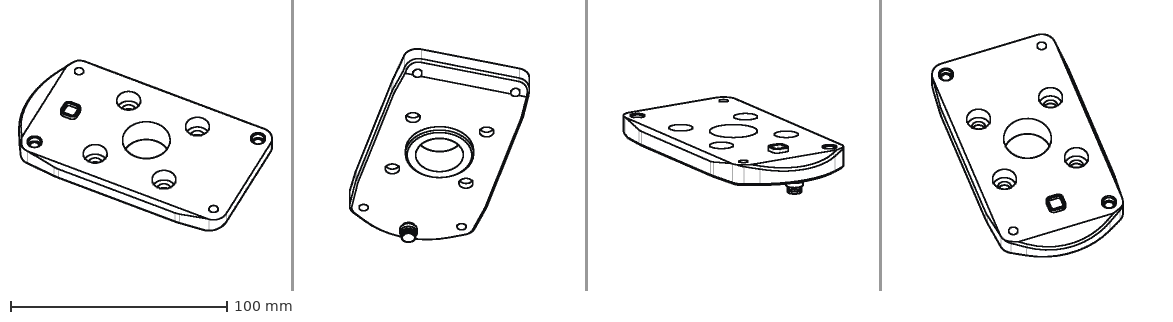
import cadquery as cq
import math

plate_thickness = 10.0
corner_center_x = 46.0
corner_center_y = 23.5
corner_radius = 6.5
half_width = 31.5
flat_half_length = 31.1
side_blend_radius = 24.0
nose_tip_x = -61.0
nose_radius = 40.0
edge_chamfer = 1.0

top_half_width = corner_center_y + corner_radius
plate_end_x = corner_center_x + corner_radius
side_slope_angle = 60.0
nose_slope_run = 3.0
end_slope_start_x = 45.0
end_slope_run = 2.75

bore_diameter = 22.0
spigot_diameter = 31.5
spigot_height = 3.0
spigot_chamfer = 0.8

bolt_circle_diameter = 50.0
bolt_count = 4
bolt_hole_diameter = 6.5
bolt_head_diameter = 11.0
bolt_floor = 3.0

corner_hole_diameter = 4.2
insert_diameter = 5.8
insert_mouth_diameter = 6.9
insert_depth = 3.0

button_x = -38.9
button_size = 8.0
button_height = 2.0
button_corner_radius = 2.3
button_chamfer = 0.2
button_recess_size = 6.0
button_rim_chamfer = 0.3

pin_x = -53.0
pin_length = 6.75
pin_neck_diameter = 6.5
pin_neck_end = 0.65
pin_collar_diameter = 8.0
pin_collar_start = 1.3
pin_collar_end = 3.3
pin_shank_start = 3.8
pin_tip_chamfer = 0.3
ring_wire_diameter = 1.0
ring_outer_diameter = 6.9
ring_depth = 5.1

margin = 10.0

parallel_tolerance = math.radians(1)


def polar(center_x, center_y, radius, angle):
    """Point on a circle; the angle is in radians."""
    return (center_x + radius * math.cos(angle), center_y + radius * math.sin(angle))


def mirrored(point):
    """The same point on the other side of the XZ plane."""
    return (point[0], -point[1])


def corner_tangent_angle():
    """Direction normal to the slanted side that leaves the corner round."""
    dx = corner_center_x - flat_half_length
    dy = half_width - corner_center_y
    return math.atan2(dy, dx) - math.asin(corner_radius / math.hypot(dx, dy))


def plate_outline():
    """Rounded plate with bowed long sides and a nose arc at the -X end."""
    tilt = corner_tangent_angle()
    side_tangent = polar(corner_center_x, corner_center_y, corner_radius, math.pi / 2 - tilt)
    corner_middle = polar(corner_center_x, corner_center_y, corner_radius, math.pi / 4)
    blend_setback = side_blend_radius * math.tan(tilt / 2)
    blend_start = (flat_half_length - blend_setback, half_width)
    blend_end = polar(flat_half_length, half_width, blend_setback, -tilt)
    blend_middle = polar(blend_start[0], half_width - side_blend_radius, side_blend_radius,
                         math.pi / 2 - tilt / 2)

    nose_center_x = nose_tip_x + nose_radius
    dx = -corner_center_x - nose_center_x
    spread = math.acos((nose_radius - corner_radius) / math.hypot(dx, corner_center_y))
    normal = math.atan2(corner_center_y, dx) + spread
    nose_tangent = polar(nose_center_x, 0, nose_radius, normal)
    nose_corner_tangent = polar(-corner_center_x, corner_center_y, corner_radius, normal)
    rear_side_tangent = (-side_tangent[0], side_tangent[1])
    rear_corner_middle = polar(-corner_center_x, corner_center_y, corner_radius,
                               (normal + math.pi / 2 + tilt) / 2)
    rear_blend_start = (-blend_start[0], blend_start[1])
    rear_blend_middle = (-blend_middle[0], blend_middle[1])
    rear_blend_end = (-blend_end[0], blend_end[1])

    return (
        cq.Workplane("XY")
        .moveTo(plate_end_x, -corner_center_y)
        .lineTo(plate_end_x, corner_center_y)
        .threePointArc(corner_middle, side_tangent)
        .lineTo(*blend_end)
        .threePointArc(blend_middle, blend_start)
        .lineTo(*rear_blend_start)
        .threePointArc(rear_blend_middle, rear_blend_end)
        .lineTo(*rear_side_tangent)
        .threePointArc(rear_corner_middle, nose_corner_tangent)
        .lineTo(*nose_tangent)
        .threePointArc((nose_tip_x, 0), mirrored(nose_tangent))
        .lineTo(*mirrored(nose_corner_tangent))
        .threePointArc(mirrored(rear_corner_middle), mirrored(rear_side_tangent))
        .lineTo(*mirrored(rear_blend_end))
        .threePointArc(mirrored(rear_blend_middle), mirrored(rear_blend_start))
        .lineTo(*mirrored(blend_start))
        .threePointArc(mirrored(blend_middle), mirrored(blend_end))
        .lineTo(*mirrored(side_tangent))
        .threePointArc(mirrored(corner_middle), (plate_end_x, -corner_center_y))
        .close()
    )


def cross_prism(points):
    """Prism across the full width, from a profile of (x, z) points."""
    return cq.Workplane("XZ").polyline(points).close().extrude(half_width + margin, both=True)


def sloped_body():
    """Plate whose nose slope carries on above the top face, so that its edge chamfer runs out there."""
    slope_end_x = -plate_end_x + margin
    tall = plate_thickness + (slope_end_x + plate_end_x) / nose_slope_run
    low_x = -plate_end_x - 2 * margin
    low_z = plate_thickness - 2 * margin / nose_slope_run
    body = plate_outline().extrude(tall)
    body = body.cut(cross_prism([(low_x, low_z), (slope_end_x, tall), (low_x, tall)]))

    far_x = plate_end_x + margin
    far_z = (far_x - end_slope_start_x) / end_slope_run
    body = body.cut(cross_prism([(end_slope_start_x, 0), (far_x, far_z), (far_x, 0)]))

    nose_edges = outline_edges(body, [cq.Vector(-1, 0, nose_slope_run)])
    body = body.newObject(nose_edges).chamfer(edge_chamfer)
    under_edges = outline_edges(body, [cq.Vector(0, 0, -1), cq.Vector(1, 0, -end_slope_run)])
    body = body.newObject(under_edges).chamfer(edge_chamfer)
    surplus = cq.Workplane("XY", origin=(0, 0, plate_thickness)).rect(4 * plate_end_x, 4 * half_width)
    return body.cut(surplus.extrude(tall))


def outline_edges(body, normals):
    """Edges of the faces with the given normals, without the straight edges that cross the plate."""
    edges = []
    for face in body.faces("%PLANE").vals():
        if any(face.normalAt().getAngle(normal) < parallel_tolerance for normal in normals):
            edges += [edge for edge in face.Edges() if not is_fold(edge)]
    return edges


def is_fold(edge):
    """True for an edge along Y inside the ends of the plate."""
    if edge.geomType() != "LINE" or abs(edge.tangentAt(0).y) < math.cos(parallel_tolerance):
        return False
    return edge.Center().x < plate_end_x - edge_chamfer


def plate():
    """Sloped body with its long upper edges bevelled."""
    body = sloped_body()
    reach = half_width + margin
    drop = (reach - top_half_width) * math.tan(math.radians(side_slope_angle))
    for side in (1, -1):
        profile = [
            (side * top_half_width, plate_thickness),
            (side * reach, plate_thickness),
            (side * reach, plate_thickness - drop),
        ]
        bevel = cq.Workplane("YZ").polyline(profile).close().extrude(-2 * nose_tip_x, both=True)
        body = body.cut(bevel)
    return body


def spigot():
    """Round boss under the plate, around the bore."""
    body = cq.Workplane("XY").circle(spigot_diameter / 2).extrude(-spigot_height)
    return body.faces("<Z").chamfer(spigot_chamfer)


def bolt_circle_cylinders(diameter, floor):
    """One cylinder per bolt, from the floor height up to the top face."""
    return (
        cq.Workplane("XY", origin=(0, 0, floor))
        .polarArray(bolt_circle_diameter / 2, 180 / bolt_count, 360, bolt_count)
        .circle(diameter / 2)
        .extrude(plate_thickness - floor)
    )


def bolt_holes():
    """Through holes with flat-bottomed counterbores from the top face."""
    through = bolt_circle_cylinders(bolt_hole_diameter, 0)
    return through.union(bolt_circle_cylinders(bolt_head_diameter, bolt_floor))


def corner_holes():
    """Plain through hole at each of the four corners."""
    return (
        cq.Workplane("XY")
        .rect(2 * corner_center_x, 2 * corner_center_y, forConstruction=True)
        .vertices()
        .circle(corner_hole_diameter / 2)
        .extrude(plate_thickness)
    )


def insert_bores():
    """Wider bores with a countersunk mouth, on two opposite corner holes."""
    mouth_depth = (insert_mouth_diameter - insert_diameter) / 2
    profile = [
        (0, plate_thickness - insert_depth),
        (insert_diameter / 2, plate_thickness - insert_depth),
        (insert_diameter / 2, plate_thickness - mouth_depth),
        (insert_mouth_diameter / 2, plate_thickness),
        (0, plate_thickness),
    ]
    bore = cq.Workplane("XZ").polyline(profile).close().revolve(360, (0, 0), (0, 1))
    front = bore.translate((-corner_center_x, -corner_center_y, 0))
    return front.union(bore.translate((corner_center_x, corner_center_y, 0)))


def rounded_square(size, corner):
    """Rounded square block that stands on the top face of the plate."""
    base = cq.Workplane("XY", origin=(button_x, 0, plate_thickness)).rect(size, size)
    return base.extrude(button_height).edges("|Z").fillet(corner)


def button():
    """Rounded square rim, bevelled outside and inside, open down to the top face of the plate."""
    wall = (button_size - button_recess_size) / 2
    block = rounded_square(button_size, button_corner_radius).faces(">Z").chamfer(button_chamfer)
    rim = block.cut(rounded_square(button_recess_size, button_corner_radius - wall))
    mouth = rim.faces(">Z").val().innerWires()[0]
    return rim.newObject(mouth.Edges()).chamfer(button_rim_chamfer)


def pin():
    """Collared pin with a wire ring around its shank."""
    neck_radius = pin_neck_diameter / 2
    collar_radius = pin_collar_diameter / 2
    profile = [
        (0, 0),
        (neck_radius, 0),
        (neck_radius, -pin_neck_end),
        (collar_radius, -pin_collar_start),
        (collar_radius, -pin_collar_end),
        (neck_radius, -pin_shank_start),
        (neck_radius, pin_tip_chamfer - pin_length),
        (neck_radius - pin_tip_chamfer, -pin_length),
        (0, -pin_length),
    ]
    body = cq.Workplane("XZ").polyline(profile).close().revolve(360, (0, 0), (0, 1))
    ring_radius = (ring_outer_diameter - ring_wire_diameter) / 2
    ring = cq.Workplane("XZ").center(ring_radius, -ring_depth).circle(ring_wire_diameter / 2)
    body = body.union(ring.revolve(360, (-ring_radius, 0), (-ring_radius, 1)))
    return body.translate((pin_x, 0, 0))


def central_bore():
    """Through hole in the plate and the spigot."""
    start = cq.Workplane("XY", origin=(0, 0, -spigot_height)).circle(bore_diameter / 2)
    return start.extrude(spigot_height + plate_thickness)


result = plate().union(spigot()).union(button()).union(pin())
result = result.cut(central_bore())
result = result.cut(bolt_holes()).cut(corner_holes()).cut(insert_bores())